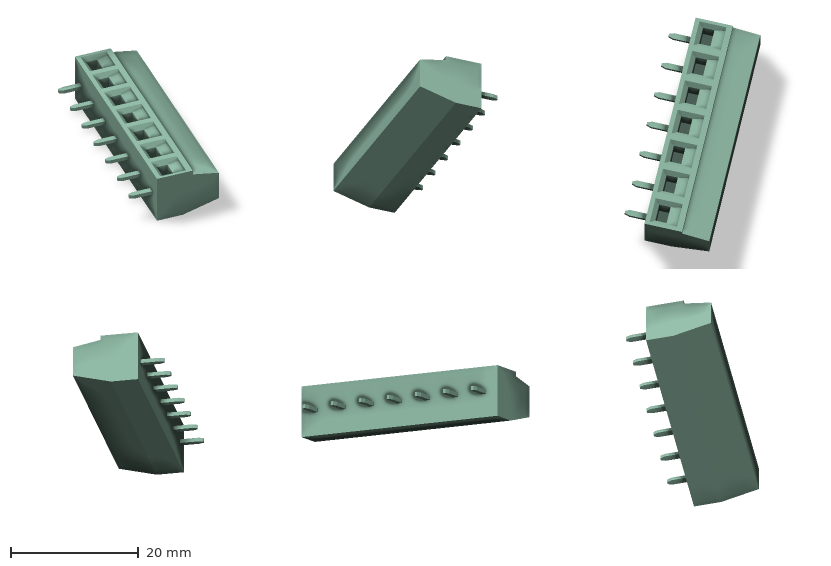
import cadquery as cq


length = 35.0
depth = 10.4
height = 8.1
top_flat = 6.02
top_step = 0.75
back_top_drop = 1.58
bottom_flat = 4.35
back_bottom_rise = 1.6

pole_count = 7
pitch = 5.0
pole_positions = [(i - (pole_count - 1) / 2) * pitch for i in range(pole_count)]

pin_length = 3.7
pin_width = 0.9
pin_thickness = 0.63
pin_height = 4.02
tip_length = 0.77
tip_width = 0.42

well_width = 4.02
well_length = 4.35
well_front = 0.75
side_inset = 0.65
front_inset = 0.75
funnel_depth = 0.75
ledge_length = 1.8
ledge_back_depth = 0.5
shaft_depth = 3.68


def make_housing():
    profile = [
        (0, 0),
        (bottom_flat, 0),
        (depth, back_bottom_rise),
        (depth, height - back_top_drop),
        (top_flat, height - top_step),
        (top_flat, height),
        (0, height),
    ]
    return cq.Workplane("YZ").polyline(profile).close().extrude(length / 2, both=True)


def make_pin():
    half_width = pin_width / 2
    half_tip = tip_width / 2
    taper_start = tip_length - pin_length
    outline = [
        (-half_width, 0),
        (-half_width, taper_start),
        (-half_tip, -pin_length),
        (half_tip, -pin_length),
        (half_width, taper_start),
        (half_width, 0),
    ]
    pin = cq.Workplane("XY").polyline(outline).close().extrude(pin_thickness)
    return pin.translate((0, 0, pin_height - pin_thickness / 2))


def make_well():
    """Cutter for one well, with the top of the housing at z = height."""
    back = well_front + well_length
    front_bottom = well_front + front_inset
    ledge_front = back - ledge_length
    half_width = well_width / 2

    side_outline = [
        (well_front, height),
        (front_bottom, height - funnel_depth),
        (front_bottom, height - shaft_depth),
        (ledge_front, height - shaft_depth),
        (ledge_front, height - funnel_depth),
        (back, height - ledge_back_depth),
        (back, height),
    ]
    half_shaft = half_width - side_inset
    width_outline = [
        (-half_width, height),
        (-half_shaft, height - funnel_depth),
        (-half_shaft, height - shaft_depth),
        (half_shaft, height - shaft_depth),
        (half_shaft, height - funnel_depth),
        (half_width, height),
    ]
    across = cq.Workplane("YZ").polyline(side_outline).close().extrude(half_width, both=True)
    along = cq.Workplane("XZ").polyline(width_outline).close().extrude(-depth)
    return across.intersect(along)


result = make_housing()
pin = make_pin()
well = make_well()
for x in pole_positions:
    result = result.cut(well.translate((x, 0, 0))).union(pin.translate((x, 0, 0)))